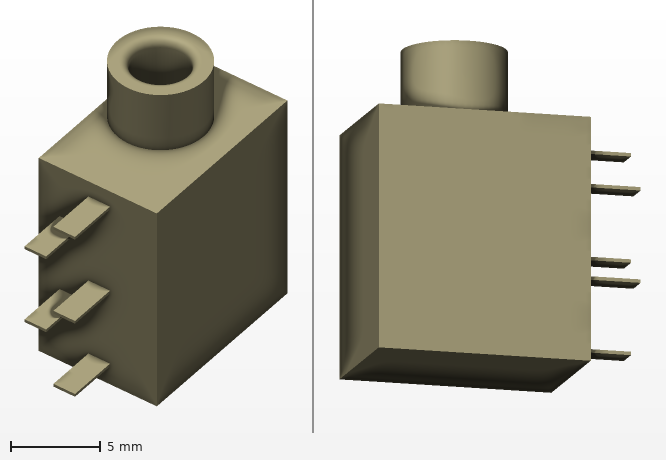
import cadquery as cq


housing_width = 8.2
housing_depth = 12.3
housing_height = 14.0
axis_to_left_side = 3.3
axis_to_pin_side = 7.0
housing_left = -axis_to_left_side
pin_side = -axis_to_pin_side

barrel_diameter = 6.0
barrel_height = 4.0
bore_diameter = 3.6
bore_depth = barrel_height
mouth_radius = 0.5
barrel_top = housing_height + barrel_height

pin_width = 1.5
pin_thickness = 0.2
pin_length = 3.3
column_spacing = 2.0
right_column = 0.9
left_column = right_column - column_spacing
right_pin_drops = (1.2, 7.3, 12.6)
left_pin_drops = (3.6, 8.9)


def make_housing():
    return cq.Workplane("XY").box(
        housing_width, housing_depth, housing_height, centered=False
    ).translate((housing_left, pin_side, 0))


def make_barrel():
    return (
        cq.Workplane("XY")
        .workplane(offset=housing_height)
        .circle(barrel_diameter / 2)
        .extrude(barrel_height)
    )


def cut_bore(body):
    """Cut the blind bore and round its mouth."""
    bore = (
        cq.Workplane("XY")
        .workplane(offset=barrel_top - bore_depth)
        .circle(bore_diameter / 2)
        .extrude(bore_depth)
    )
    smallest_circle = cq.selectors.RadiusNthSelector(0)
    return body.cut(bore).faces(">Z").edges(smallest_circle).fillet(mouth_radius)


def make_pin(column, drop):
    """Make a flat pin standing out of the housing toward -Y."""
    return cq.Workplane("XY").box(pin_width, pin_length, pin_thickness).translate(
        (column, pin_side - pin_length / 2, housing_height - drop)
    )


result = cut_bore(make_housing().union(make_barrel()))
for column, drops in ((right_column, right_pin_drops), (left_column, left_pin_drops)):
    for drop in drops:
        result = result.union(make_pin(column, drop))